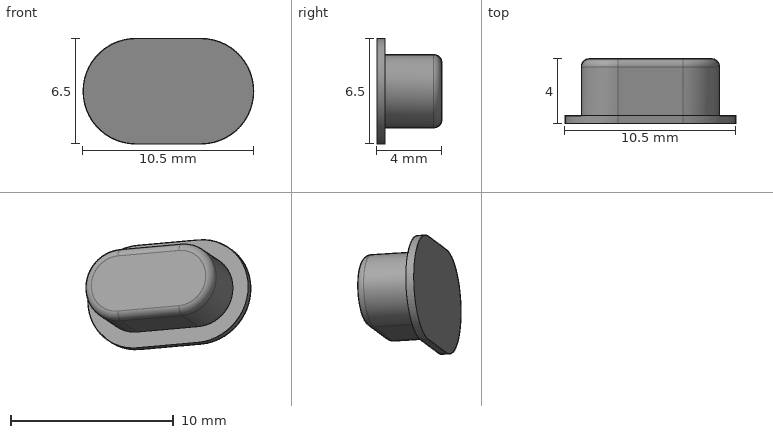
import cadquery as cq

flange_length = 10.5
flange_height = 6.5
flange_thickness = 0.5

total_depth = 4.0
rim_width = 1.0
button_length = flange_length - 2 * rim_width
button_height = flange_height - 2 * rim_width
button_edge_radius = 0.5


def stadium(length, height, depth):
    """Stadium-shaped block with its long axis on X, running from Y = 0 to Y = depth."""
    return cq.Workplane("XZ").slot2D(length, height).extrude(-depth)


flange = stadium(flange_length, flange_height, flange_thickness)

button = stadium(button_length, button_height, total_depth)
button = button.faces(">Y").edges().fillet(button_edge_radius)

result = flange.union(button)